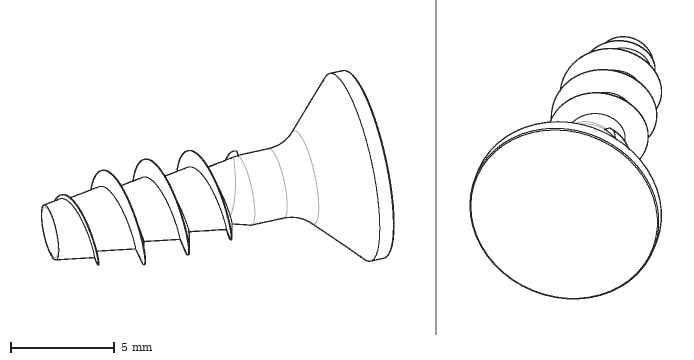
import cadquery as cq
import math

LENGTH = 16.0

HEAD_RADIUS = 4.65
RIM_HEIGHT = 0.75
RIM_BEVEL = 0.06
HEAD_ANGLE = math.radians(45)
NECK_FILLET = 2.0
SHANK_RADIUS = 1.725
SHANK_END = -6.15
SHANK_TAPER = 0.28

TIP_RADIUS = 1.365
DIMPLE_RADIUS = 1.25
DIMPLE_DEPTH = 0.08

PITCH = 2.23
CREST_RADIUS = 2.49
CREST_WIDTH = 0.04
FLANK_SLOPE = math.tan(math.radians(15))
CREST_HEIGHT_AT_PLUS_Z = -8.15
POINTS_PER_TURN = 24

THREAD_START = -5.1
FULL_START = -8.6
FULL_END = -12.6
THREAD_END = -15.95

ROOT_RADIUS = 1.70
ROOT_TAPER = (ROOT_RADIUS - TIP_RADIUS) / PITCH
ROOT_END = -LENGTH - 0.5
TURN_GAP = 0.03

CORE_RADIUS = 1.32
CORE_TOP = -3.0
THREAD_INNER_RADIUS = 1.2
ROOT_INNER_RADIUS = 0.9


def make_head_and_shank():
    """Revolved head, filleted neck, shank and the taper below the shank."""
    cone_to_shank = (HEAD_RADIUS - SHANK_RADIUS) / math.tan(HEAD_ANGLE)
    fillet_end = -(RIM_HEIGHT + cone_to_shank + NECK_FILLET * math.tan(HEAD_ANGLE / 2))
    fillet_center_radius = SHANK_RADIUS + NECK_FILLET

    def neck_point(angle):
        return (
            fillet_center_radius - NECK_FILLET * math.cos(angle),
            fillet_end + NECK_FILLET * math.sin(angle),
        )

    taper_end = SHANK_END - (SHANK_RADIUS - CORE_RADIUS) / SHANK_TAPER
    profile = (
        cq.Workplane("XZ")
        .lineTo(HEAD_RADIUS - RIM_BEVEL, 0)
        .lineTo(HEAD_RADIUS, -RIM_BEVEL)
        .lineTo(HEAD_RADIUS, -RIM_HEIGHT)
        .lineTo(*neck_point(HEAD_ANGLE))
        .threePointArc(neck_point(HEAD_ANGLE / 2), neck_point(0))
        .lineTo(SHANK_RADIUS, SHANK_END)
        .lineTo(CORE_RADIUS, taper_end)
        .lineTo(0, taper_end)
        .close()
    )
    return profile.revolve(360, (0, 0, 0), (0, 1, 0))


def crest_radius_at(height):
    """Crest radius: grows out of the shank, stays full, then sinks into the tip."""
    if height > FULL_START:
        share = (THREAD_START - height) / (THREAD_START - FULL_START)
        return SHANK_RADIUS + share * (CREST_RADIUS - SHANK_RADIUS)
    if height < FULL_END:
        share = (height + LENGTH) / (FULL_END + LENGTH)
        return TIP_RADIUS + share * (CREST_RADIUS - TIP_RADIUS)
    return CREST_RADIUS


def thread_section(crest_height):
    """(radius, height) corners of the thread between its buried inner side and its crest."""
    crest_radius = crest_radius_at(crest_height)
    half_crest = CREST_WIDTH / 2
    half_base = half_crest + (crest_radius - THREAD_INNER_RADIUS) * FLANK_SLOPE
    return [
        (THREAD_INNER_RADIUS, crest_height + half_base),
        (crest_radius, crest_height + half_crest),
        (crest_radius, crest_height - half_crest),
        (THREAD_INNER_RADIUS, crest_height - half_base),
    ]


def root_section(crest_height):
    """(radius, height) corners of the tapered root, from inside one turn to inside the next."""
    tip_cone_radius = TIP_RADIUS + ROOT_TAPER * (crest_height + LENGTH)
    top_radius = min(ROOT_RADIUS, tip_cone_radius)
    length = PITCH - TURN_GAP
    return [
        (ROOT_INNER_RADIUS, crest_height),
        (top_radius, crest_height),
        (top_radius - ROOT_TAPER * length, crest_height - length),
        (ROOT_INNER_RADIUS, crest_height - length),
    ]


def on_helix(radius, height, crest_height):
    """Point of a right-hand section, turned to the angle that belongs to its crest height."""
    turns = (crest_height - CREST_HEIGHT_AT_PLUS_Z) / PITCH
    angle = 2 * math.pi * turns - math.pi / 2
    return cq.Vector(radius * math.cos(angle), radius * math.sin(angle), height)


def make_helical_solid(section_at, start, end):
    """Solid between spline helices drawn through the corners of a varying section."""
    run = end - start
    steps = math.ceil(abs(run) / PITCH * POINTS_PER_TURN)
    crest_heights = [start + run * i / steps for i in range(steps + 1)]
    sections = [[on_helix(r, z, h) for r, z in section_at(h)] for h in crest_heights]
    helices = [cq.Edge.makeSpline(list(corner)) for corner in zip(*sections)]
    next_helices = helices[1:] + helices[:1]
    faces = [cq.Face.makeRuledSurface(a, b) for a, b in zip(helices, next_helices)]
    for section in (sections[0], sections[-1]):
        faces.append(cq.Face.makeFromWires(cq.Wire.makePolygon(section, close=True)))
    return cq.Workplane(cq.Solid.makeSolid(cq.Shell.makeShell(faces)))


def make_threaded_length():
    """Core, root and thread, trimmed flat at the shank end and at the tip face."""
    root = make_helical_solid(root_section, THREAD_START, ROOT_END)
    thread = make_helical_solid(thread_section, THREAD_START, THREAD_END)
    core_height = CORE_TOP - ROOT_END
    core = cq.Workplane("XY", origin=(0, 0, ROOT_END)).circle(CORE_RADIUS).extrude(core_height)
    untrimmed = core.union(root.union(thread))
    trimmed_height = LENGTH + SHANK_END
    envelope = cq.Workplane("XY", origin=(0, 0, -LENGTH)).circle(HEAD_RADIUS).extrude(trimmed_height)
    return envelope.intersect(untrimmed)


def make_dimple():
    """Shallow cone sunk into the tip face."""
    dimple = cq.Solid.makeCone(DIMPLE_RADIUS, 0, DIMPLE_DEPTH)
    return cq.Workplane(dimple).translate((0, 0, -LENGTH))


screw = make_head_and_shank().union(make_threaded_length()).cut(make_dimple())
result = screw.rotate((0, 0, 0), (1, 0, 0), -90)